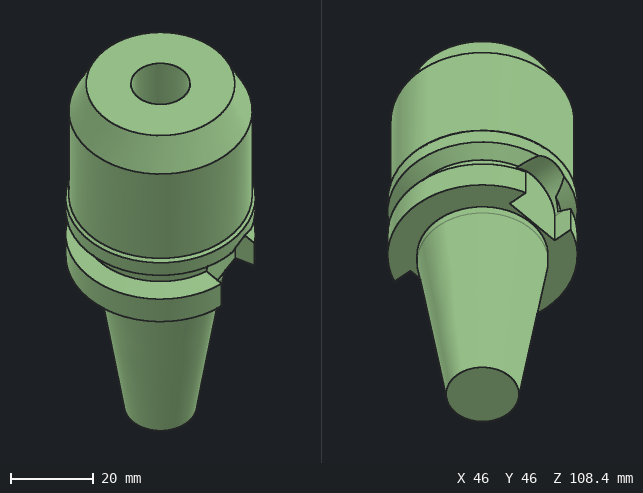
import cadquery as cq

total_height = 108.4
flange_radius = 23.0

taper_ratio = 7 / 24
gauge_radius = 15.88
gauge_height = 48.3
shank_end_radius = gauge_radius - gauge_height * taper_ratio / 2

flange_bottom = 50.5
groove_lower_edge = 58.1
groove_upper_edge = 66.1
groove_side_height = 2.2
groove_radius = 19.1
flange_top = 71.1
flange_chamfer = 0.8

nose_radius = flange_radius - flange_chamfer
nose_tip_radius = 18.0
nose_cone_height = 8.9
bore_radius = 7.2
bore_depth = 32.5

slot_width = 16.2
slot_floor = 16.3
slot_top = 67.5


def make_body():
    """Revolve the half profile about the Z axis."""
    profile = [
        (0, 0),
        (shank_end_radius, 0),
        (gauge_radius, gauge_height),
        (gauge_radius, flange_bottom),
        (flange_radius, flange_bottom),
        (flange_radius, groove_lower_edge),
        (groove_radius, groove_lower_edge + groove_side_height),
        (groove_radius, groove_upper_edge - groove_side_height),
        (flange_radius, groove_upper_edge),
        (flange_radius, flange_top - flange_chamfer),
        (nose_radius, flange_top),
        (nose_radius, total_height - nose_cone_height),
        (nose_tip_radius, total_height),
        (0, total_height),
    ]
    return cq.Workplane("XZ").polyline(profile).close().revolve(360, (0, 0), (0, 1))


def make_bore():
    """Blind bore opening at the nose tip."""
    floor = cq.Workplane("XY").workplane(offset=total_height - bore_depth)
    return floor.circle(bore_radius).extrude(bore_depth)


def make_slot(side):
    """Flat-floored slot with a round top; side is -1 or 1 along X."""
    half_width = slot_width / 2
    arch_base = slot_top - half_width
    return (
        cq.Workplane("YZ", origin=(side * slot_floor, 0, 0))
        .moveTo(-half_width, flange_bottom)
        .lineTo(half_width, flange_bottom)
        .lineTo(half_width, arch_base)
        .threePointArc((0, slot_top), (-half_width, arch_base))
        .close()
        .extrude(side * flange_radius)
    )


result = make_body().cut(make_bore())
for side in (-1, 1):
    result = result.cut(make_slot(side))